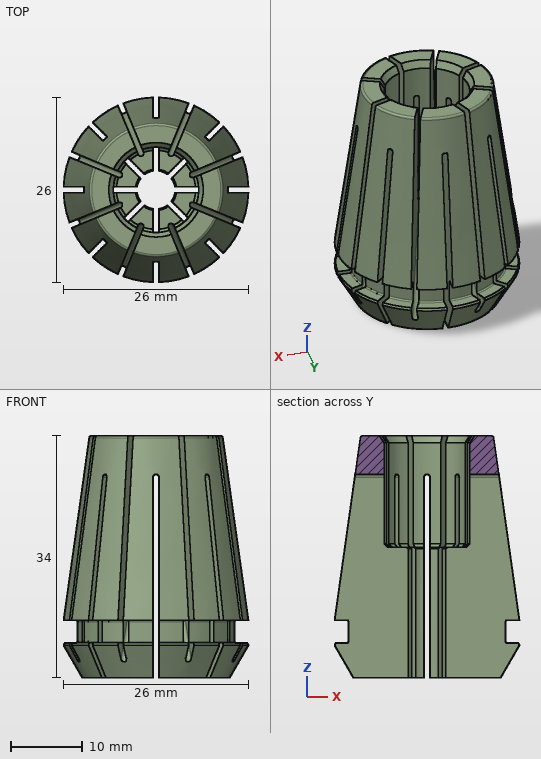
import cadquery as cq
import math

HEIGHT = 34.0
MAX_RADIUS = 13.0

TAPER_ANGLE = 8.0
BODY_BOTTOM = 8.1
TOP_ROUND = 0.35

GROOVE_RADIUS = 11.05
GROOVE_BOTTOM = 4.93
GROOVE_ROUND = 0.2
COLLAR_CHAMFER_HEIGHT = 0.35
COLLAR_CHAMFER_WIDTH = 0.17
NOSE_ANGLE = 30.0

GRIP_RADIUS = 2.7
GRIP_CHAMFER = 0.2
LEDGE_RADIUS = 5.55
LEDGE_HEIGHT = 18.35
BORE_RADIUS = 6.0
BORE_CHAMFER_WIDTH = 0.65
BORE_CHAMFER_DEPTH = 1.02

SLOTS = 8
SLOT_WIDTH = 0.8
LOWER_SLOT_TOP = 28.55
UPPER_SLOT_OUTER_END = (11.63, 2.28)
UPPER_SLOT_INNER_END = (5.15, LEDGE_HEIGHT)
CLEARANCE = 1.7


def outer_body():
    """Solid taper, groove and nose, with a rounded top edge and groove corners."""
    top_radius = MAX_RADIUS - (HEIGHT - BODY_BOTTOM) * math.tan(math.radians(TAPER_ANGLE))
    nose_top = GROOVE_BOTTOM - COLLAR_CHAMFER_HEIGHT
    nose_radius = MAX_RADIUS - nose_top * math.tan(math.radians(NOSE_ANGLE))
    outline = [
        (0, 0),
        (nose_radius, 0),
        (MAX_RADIUS, nose_top),
        (MAX_RADIUS - COLLAR_CHAMFER_WIDTH, GROOVE_BOTTOM),
        (GROOVE_RADIUS, GROOVE_BOTTOM),
        (GROOVE_RADIUS, BODY_BOTTOM),
        (MAX_RADIUS, BODY_BOTTOM),
        (top_radius, HEIGHT),
        (0, HEIGHT),
    ]
    body = cq.Workplane("XZ").polyline(outline).close().revolve(360, (0, 0), (0, 1))
    body = body.faces(">Z").edges().fillet(TOP_ROUND)
    groove_wall = GROOVE_RADIUS + GROOVE_ROUND / 2
    groove_zone = cq.selectors.BoxSelector(
        (-groove_wall, -groove_wall, GROOVE_BOTTOM - GROOVE_ROUND),
        (groove_wall, groove_wall, BODY_BOTTOM + GROOVE_ROUND),
        boundingbox=True,
    )
    return body.edges(groove_zone).fillet(GROOVE_ROUND)


def bore():
    """Narrow grip hole, a ledge with a 45 degree corner, then the wide relief bore."""
    outline = [
        (0, 0),
        (GRIP_RADIUS, 0),
        (GRIP_RADIUS, LEDGE_HEIGHT - GRIP_CHAMFER),
        (GRIP_RADIUS + GRIP_CHAMFER, LEDGE_HEIGHT),
        (LEDGE_RADIUS, LEDGE_HEIGHT),
        (BORE_RADIUS, LEDGE_HEIGHT + BORE_RADIUS - LEDGE_RADIUS),
        (BORE_RADIUS, HEIGHT - BORE_CHAMFER_DEPTH),
        (BORE_RADIUS + BORE_CHAMFER_WIDTH, HEIGHT),
        (0, HEIGHT),
    ]
    return cq.Workplane("XZ").polyline(outline).close().revolve(360, (0, 0), (0, 1))


def lower_slot():
    """Round-topped slot open at the bottom, from the axis outward along +X."""
    reach = MAX_RADIUS + CLEARANCE
    round_center = LOWER_SLOT_TOP - SLOT_WIDTH / 2
    slab = cq.Workplane("XY").box(reach, SLOT_WIDTH, round_center, centered=(False, True, False))
    end = cq.Workplane("YZ").center(0, round_center).circle(SLOT_WIDTH / 2).extrude(reach)
    return slab.union(end)


def upper_slot():
    """Slot open at the top, with a round floor that climbs steeply toward the axis."""
    outer_radius, outer_height = UPPER_SLOT_OUTER_END
    inner_radius, inner_height = UPPER_SLOT_INNER_END
    outer = cq.Vector(outer_radius, 0, outer_height)
    inner = cq.Vector(inner_radius, 0, inner_height)
    along = (inner - outer).normalized()
    normal = cq.Vector(along.z, 0, -along.x)
    reach = MAX_RADIUS + CLEARANCE
    top = HEIGHT + CLEARANCE
    axis_point = outer + normal * (SLOT_WIDTH / 2)
    low = axis_point - along * CLEARANCE
    climb = (top - low.z) / along.z
    high = low + along * climb
    profile = [(low.x, low.z), (high.x, high.z), (reach, top), (reach, low.z)]
    slab = cq.Workplane("XZ").polyline(profile).close().extrude(SLOT_WIDTH / 2, both=True)
    floor = cq.Workplane(cq.Solid.makeCylinder(SLOT_WIDTH / 2, climb, low, along))
    return slab.union(floor)


collet = outer_body().cut(bore())
pitch = 360.0 / SLOTS
for i in range(SLOTS):
    lower_angle = i * pitch
    upper_angle = lower_angle + pitch / 2
    collet = collet.cut(lower_slot().rotate((0, 0, 0), (0, 0, 1), lower_angle))
    collet = collet.cut(upper_slot().rotate((0, 0, 0), (0, 0, 1), upper_angle))

result = collet